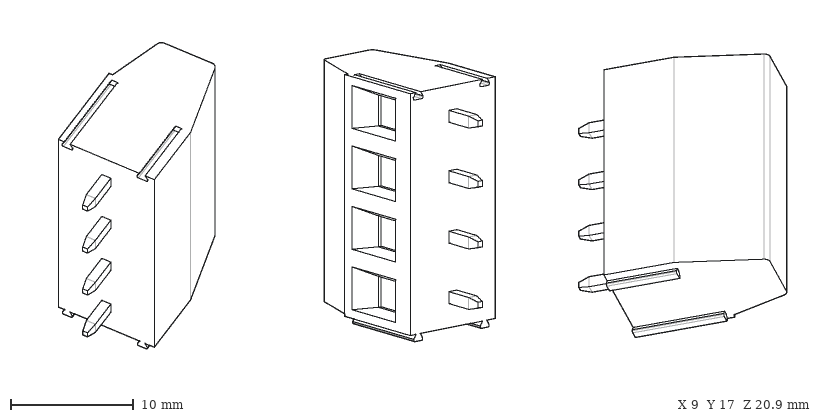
import cadquery as cq

pole_count = 4
pitch = 5.08
body_width = 9.0
body_depth = 13.5
body_height = pole_count * pitch

entry_face_depth = 8.38
entry_ledge = 0.33
back_face_depth = 6.0
crown_left = 1.93
crown_right = 7.15
crown_radius = 0.5

pin_width = 0.85
pin_height = 1.0
pin_length = 3.5
pin_tip_length = 0.95
pin_tip_width = 0.45
pin_tip_height = 0.5

funnel_mouth_start = 1.9
funnel_mouth_end = 7.45
funnel_mouth_height = 3.6
recess_start = 2.37
recess_end = 5.18
recess_height = 2.6
funnel_depth = 0.9
recess_depth = 0.3

dovetail_height = 0.6
dovetail_flare_height = 0.38
left_dovetail_x = 0.85
right_dovetail_x = 7.88
left_dovetail_length = 7.83
right_dovetail_length = 6.0
rail_neck_width = 0.46
rail_foot_width = 0.94
foot_radius = 0.13
groove_clearance = 0.03

pole_heights = [(index + 0.5) * pitch for index in range(pole_count)]
dovetails = [
    (left_dovetail_x, left_dovetail_length),
    (right_dovetail_x, right_dovetail_length),
]


def make_body():
    """Prism with a tapered, rounded crown on the side away from the pins."""
    outline = [
        (0, 0),
        (body_width, 0),
        (body_width, back_face_depth),
        (crown_right, body_depth),
        (crown_left, body_depth),
        (entry_ledge, entry_face_depth),
        (0, entry_face_depth),
    ]
    body = cq.Workplane("XY").polyline(outline).close().extrude(body_height)
    crown_edges = body.faces(">Y").edges("|Z")
    return crown_edges.fillet(crown_radius)


def make_pin(z_center):
    """Rectangular pin with a pyramidal tip, standing on the pin face."""
    shank_length = pin_length - pin_tip_length
    shank = (
        cq.Workplane("XZ", origin=(body_width / 2, 0, z_center))
        .rect(pin_width, pin_height)
        .extrude(shank_length)
    )
    tip = (
        cq.Workplane("XZ", origin=(body_width / 2, -shank_length, z_center))
        .rect(pin_width, pin_height)
        .workplane(offset=pin_tip_length)
        .rect(pin_tip_width, pin_tip_height)
        .loft(ruled=True)
    )
    return shank.union(tip)


def make_wire_entry(z_center):
    """Rectangular funnel narrowing toward +X, ending in a shallow straight recess."""
    mouth_y = (funnel_mouth_start + funnel_mouth_end) / 2
    floor_y = (recess_start + recess_end) / 2
    funnel = (
        cq.Workplane("YZ", origin=(0, mouth_y, z_center))
        .rect(funnel_mouth_end - funnel_mouth_start, funnel_mouth_height)
        .workplane(offset=funnel_depth)
        .center(floor_y - mouth_y, 0)
        .rect(recess_end - recess_start, recess_height)
        .loft(ruled=True)
    )
    recess = (
        cq.Workplane("YZ", origin=(funnel_depth, floor_y, z_center))
        .rect(recess_end - recess_start, recess_height)
        .extrude(recess_depth)
    )
    return funnel.union(recess)


def make_dovetail(x_center, z_top, length, clearance=0):
    """Bar along Y with a narrow neck at z_top that flares to a wide, round-cornered foot."""
    neck = rail_neck_width / 2 + clearance
    foot = rail_foot_width / 2 + clearance
    profile = [
        (-neck, 0),
        (-foot, -dovetail_flare_height),
        (-foot, -dovetail_height),
        (foot, -dovetail_height),
        (foot, -dovetail_flare_height),
        (neck, 0),
    ]
    bar = cq.Workplane("XZ", origin=(x_center, 0, z_top)).polyline(profile).close()
    bar = bar.extrude(-length)
    return bar.faces("<Z").edges("|Y").fillet(foot_radius)


result = make_body()

for pole_z in pole_heights:
    result = result.cut(make_wire_entry(pole_z))
    result = result.union(make_pin(pole_z))

for dovetail_x, dovetail_length in dovetails:
    result = result.cut(make_dovetail(dovetail_x, body_height, dovetail_length, groove_clearance))
    result = result.union(make_dovetail(dovetail_x, 0, dovetail_length))